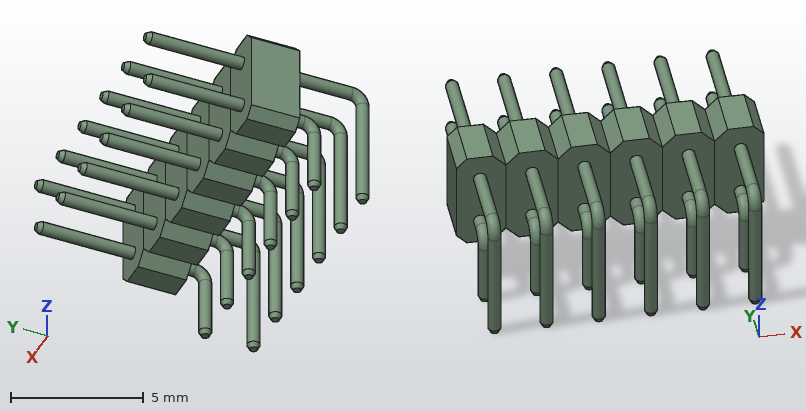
import cadquery as cq
import math


cell_count = 6
row_length = 11.8
end_trim = 0.1
tip_diameter = 0.3
tip_length = 0.2

pitch = (row_length + 2 * end_trim) / cell_count
block_depth = pitch
block_height = 2 * pitch
block_chamfer = pitch / 4
pin_diameter = pitch / 4

lower_pin_height = pitch / 2
upper_pin_height = lower_pin_height + pitch
lower_pin_reach = pitch / 2
upper_pin_reach = lower_pin_reach + pitch
rear_tip_y = block_depth + 2 * pitch
foot_z = -pitch
bend_radius = pitch / 4


def make_block(x_center):
    """Octagonal block of one column, kept within the length of the row."""
    block = (
        cq.Workplane("XY")
        .box(pitch, block_depth, block_height, centered=(True, False, False))
        .edges("|Y")
        .chamfer(block_chamfer)
        .translate((x_center, 0, 0))
    )
    row_envelope = cq.Workplane("XY").box(
        row_length, block_depth, block_height, centered=(True, False, False)
    )
    return block.intersect(row_envelope)


def make_tip(base_point, direction):
    """Cone frustum that tapers from the pin diameter along the given direction."""
    return cq.Workplane(
        cq.Solid.makeCone(pin_diameter / 2, tip_diameter / 2, tip_length, base_point, direction)
    )


def make_pin(x_center, height, reach):
    """Round pin running forward along -Y, bent down to its foot, with two tapered tips."""
    rear_end_y = rear_tip_y - tip_length
    foot_end_z = foot_z + tip_length
    bend_inset = bend_radius * (1 - math.sqrt(0.5))

    axis = (
        cq.Workplane("YZ", origin=(x_center, 0, 0))
        .moveTo(rear_end_y, height)
        .lineTo(bend_radius - reach, height)
        .threePointArc(
            (bend_inset - reach, height - bend_inset),
            (-reach, height - bend_radius),
        )
        .lineTo(-reach, foot_end_z)
    )
    shank = (
        cq.Workplane("XZ", origin=(x_center, rear_end_y, height))
        .circle(pin_diameter / 2)
        .sweep(axis)
    )
    rear_tip = make_tip(cq.Vector(x_center, rear_end_y, height), cq.Vector(0, 1, 0))
    foot_tip = make_tip(cq.Vector(x_center, -reach, foot_end_z), cq.Vector(0, 0, -1))
    return shank.union(rear_tip).union(foot_tip)


def make_cell(x_center):
    """One column of the header: a block with its upper and lower pin, as one solid."""
    upper_pin = make_pin(x_center, upper_pin_height, upper_pin_reach)
    lower_pin = make_pin(x_center, lower_pin_height, lower_pin_reach)
    return make_block(x_center).union(upper_pin).union(lower_pin)


cells = []
for index in range(cell_count):
    cell_x = (index - (cell_count - 1) / 2) * pitch
    cells.append(make_cell(cell_x).solids().val())

result = cq.Compound.makeCompound(cells)